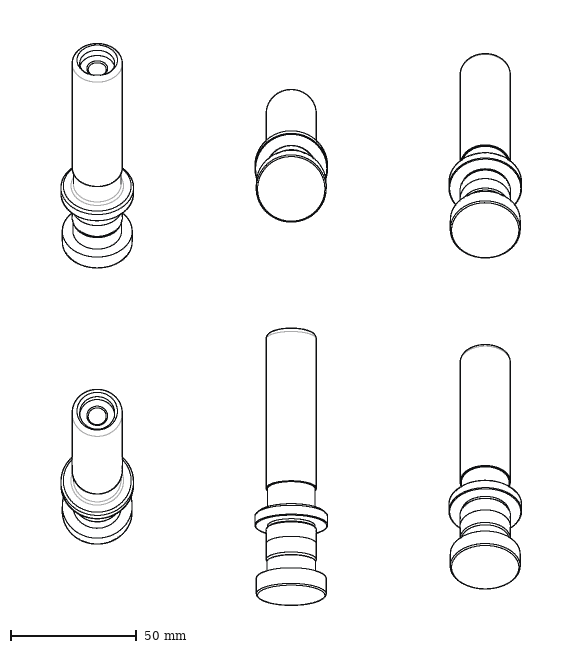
import cadquery as cq
import math

total_height = 109.0
disc_thickness = 7.1
spigot_top = 14.0
shank_step = 21.5
undercut_bottom = 28.0
flange_bottom = 29.0
flange_top = 34.0
neck_top = 44.5

flange_radius = 14.5
disc_radius = 14.0
guide_radius = 10.0
fit_relief = 0.02
spigot_radius = 9.7
neck_radius = 9.5

disc_chamfer = 0.5
flange_top_chamfer = 1.0
flange_bottom_chamfer = 0.3
shank_chamfer = 1.0
undercut_chamfer = 0.5
guide_chamfer = 0.2
neck_fillet = 1.0
rim_radius = 2.0

recess_radius = 7.0
recess_depth = 5.0
recess_cone_angle = 30.0
bore_radius = 3.6
bore_mouth_radius = 4.1
countersink_angle = 45.0
bore_depth = 19.6
drill_tip_angle = 59.0


def cone_height(large_radius, small_radius, half_angle):
    """Axial length of a cone between two radii."""
    return (large_radius - small_radius) / math.tan(math.radians(half_angle))


def make_base():
    """Disc with a chamfered lower edge, carrying a plain round spigot."""
    disc = cq.Workplane("XY").circle(disc_radius).extrude(disc_thickness)
    disc = disc.faces("<Z").edges().chamfer(disc_chamfer)
    return disc.faces(">Z").workplane().circle(spigot_radius).extrude(spigot_top - disc_thickness)


def make_pin_blank():
    """Turned outside of the pin, without its centre hole."""
    lower_shank_radius = guide_radius - fit_relief
    shank_end_radius = guide_radius - shank_chamfer
    flange_face_radius = flange_radius - flange_top_chamfer
    fillet_mid = neck_fillet * (1 - math.sqrt(0.5))
    rim_mid = rim_radius * (1 - math.sqrt(0.5))
    profile = (
        cq.Workplane("XZ")
        .moveTo(0, spigot_top)
        .lineTo(shank_end_radius, spigot_top)
        .lineTo(lower_shank_radius, spigot_top + shank_chamfer)
        .lineTo(lower_shank_radius, shank_step)
        .lineTo(guide_radius, shank_step)
        .lineTo(guide_radius, undercut_bottom - undercut_chamfer)
        .lineTo(neck_radius, undercut_bottom)
        .lineTo(neck_radius, flange_bottom)
        .lineTo(flange_radius - flange_bottom_chamfer, flange_bottom)
        .lineTo(flange_radius, flange_bottom + flange_bottom_chamfer)
        .lineTo(flange_radius, flange_top - flange_top_chamfer)
        .lineTo(flange_face_radius, flange_top)
        .lineTo(neck_radius + neck_fillet, flange_top)
        .threePointArc(
            (neck_radius + fillet_mid, flange_top + fillet_mid),
            (neck_radius, flange_top + neck_fillet),
        )
        .lineTo(neck_radius, neck_top)
        .lineTo(guide_radius - guide_chamfer, neck_top)
        .lineTo(guide_radius, neck_top + guide_chamfer)
        .lineTo(guide_radius, total_height - rim_radius)
        .threePointArc(
            (guide_radius - rim_mid, total_height - rim_mid),
            (guide_radius - rim_radius, total_height),
        )
        .lineTo(0, total_height)
        .close()
    )
    return profile.revolve(360, (0, 0, 0), (0, 1, 0))


def make_centre_hole():
    """Tapered recess leading to a countersunk bore with a conical end."""
    mouth_radius = guide_radius - rim_radius
    mouth_bottom = total_height - cone_height(mouth_radius, recess_radius, recess_cone_angle)
    recess_floor = total_height - recess_depth
    countersink_bottom = recess_floor - cone_height(bore_mouth_radius, bore_radius, countersink_angle)
    bore_bottom = recess_floor - bore_depth
    tip_bottom = bore_bottom - cone_height(bore_radius, 0, drill_tip_angle)
    profile = (
        cq.Workplane("XZ")
        .moveTo(0, total_height)
        .lineTo(mouth_radius, total_height)
        .lineTo(recess_radius, mouth_bottom)
        .lineTo(recess_radius, recess_floor)
        .lineTo(bore_mouth_radius, recess_floor)
        .lineTo(bore_radius, countersink_bottom)
        .lineTo(bore_radius, bore_bottom)
        .lineTo(0, tip_bottom)
        .close()
    )
    return profile.revolve(360, (0, 0, 0), (0, 1, 0))


base = make_base()
pin = make_pin_blank().cut(make_centre_hole())

result = cq.Compound.makeCompound([base.val(), pin.val()])